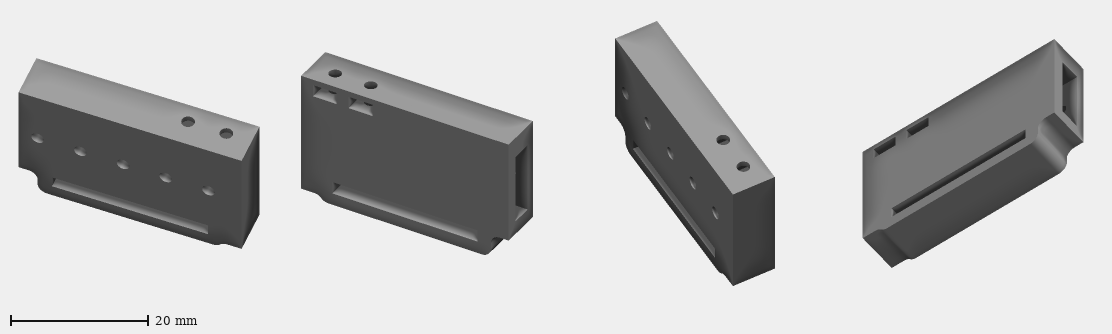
import cadquery as cq
import math

LENGTH = 35.0
THICKNESS = 7.0
HEIGHT = 21.0

NOTCH_WIDTH = 3.0
NOTCH_HEIGHT = 4.0
NOTCH_RADIUS = 1.5
STEP_HEIGHT = 1.0
STEP_RADIUS = 1.5
STEP_MIDDLE_X = 31.62

FRONT_WALL = 1.5
BACK_WALL = 2.0
END_WALL = 2.0
POCKET_HEIGHT = 11.4
POCKET_MIDDLE_Z = 11.93

HOLE_DIAMETER = 2.0
FRONT_HOLE_COUNT = 5
FRONT_HOLE_PITCH = 6.7
FRONT_HOLE_FIRST_X = 3.0
TOP_HOLE_XS = (25.0, 31.0)
TOP_HOLE_Y = 4.0

NUT_SLOT_WIDTH = 4.0
NUT_SLOT_HEIGHT = 2.0
NUT_SLOT_ROOF = 0.95
NUT_SLOT_FRONT_Y = TOP_HOLE_Y - NUT_SLOT_WIDTH / 2

SLOT_HEIGHT = 2.0
SLOT_FLOOR_Z = 2.0
SLOT_LENGTH = 24.5
SLOT_END_X = 29.75

POCKET_LENGTH = LENGTH - END_WALL
POCKET_WIDTH = THICKNESS - FRONT_WALL - BACK_WALL
POCKET_FLOOR_Z = POCKET_MIDDLE_Z - POCKET_HEIGHT / 2
POCKET_MIDDLE_Y = FRONT_WALL + POCKET_WIDTH / 2


def make_body():
    """Extrude the side outline through the full thickness."""
    arc_angle = math.acos(1 - STEP_HEIGHT / (2 * STEP_RADIUS))
    half_step_length = STEP_RADIUS * math.sin(arc_angle)
    outline = (
        cq.Workplane("XZ")
        .moveTo(0, HEIGHT)
        .lineTo(0, NOTCH_HEIGHT)
        .lineTo(NOTCH_WIDTH - NOTCH_RADIUS, NOTCH_HEIGHT)
        .tangentArcPoint((NOTCH_RADIUS, -NOTCH_RADIUS))
        .lineTo(NOTCH_WIDTH, NOTCH_RADIUS)
        .tangentArcPoint((NOTCH_RADIUS, -NOTCH_RADIUS))
        .lineTo(STEP_MIDDLE_X - half_step_length, 0)
        .tangentArcPoint((half_step_length, STEP_HEIGHT / 2))
        .tangentArcPoint((half_step_length, STEP_HEIGHT / 2))
        .lineTo(LENGTH, STEP_HEIGHT)
        .lineTo(LENGTH, HEIGHT)
        .close()
    )
    return outline.extrude(-THICKNESS)


def make_pocket():
    """Blind pocket, open at the left end."""
    return cq.Workplane("XY").box(
        POCKET_LENGTH, POCKET_WIDTH, POCKET_HEIGHT, centered=False
    ).translate((0, FRONT_WALL, POCKET_FLOOR_Z))


def make_slot():
    """Long slot through the full thickness."""
    return cq.Workplane("XY").box(
        SLOT_LENGTH, THICKNESS, SLOT_HEIGHT, centered=False
    ).translate((SLOT_END_X - SLOT_LENGTH, 0, SLOT_FLOOR_Z))


def make_front_holes():
    """Row of holes from the front face to the middle of the pocket."""
    centers = [
        (FRONT_HOLE_FIRST_X + i * FRONT_HOLE_PITCH, POCKET_MIDDLE_Z)
        for i in range(FRONT_HOLE_COUNT)
    ]
    return (
        cq.Workplane("XZ")
        .pushPoints(centers)
        .circle(HOLE_DIAMETER / 2)
        .extrude(-POCKET_MIDDLE_Y)
    )


def make_top_holes():
    """Holes from the top face down to the middle of the pocket."""
    centers = [(x, TOP_HOLE_Y) for x in TOP_HOLE_XS]
    return (
        cq.Workplane("XY", origin=(0, 0, HEIGHT))
        .pushPoints(centers)
        .circle(HOLE_DIAMETER / 2)
        .extrude(POCKET_MIDDLE_Z - HEIGHT)
    )


def make_nut_slots():
    """Slots from the back face, one around each top hole just below the top face."""
    centers = [(x, HEIGHT - NUT_SLOT_ROOF - NUT_SLOT_HEIGHT / 2) for x in TOP_HOLE_XS]
    return (
        cq.Workplane("XZ", origin=(0, NUT_SLOT_FRONT_Y, 0))
        .pushPoints(centers)
        .rect(NUT_SLOT_WIDTH, NUT_SLOT_HEIGHT)
        .extrude(NUT_SLOT_FRONT_Y - THICKNESS)
    )


result = (
    make_body()
    .cut(make_pocket())
    .cut(make_slot())
    .cut(make_front_holes())
    .cut(make_top_holes())
    .cut(make_nut_slots())
)